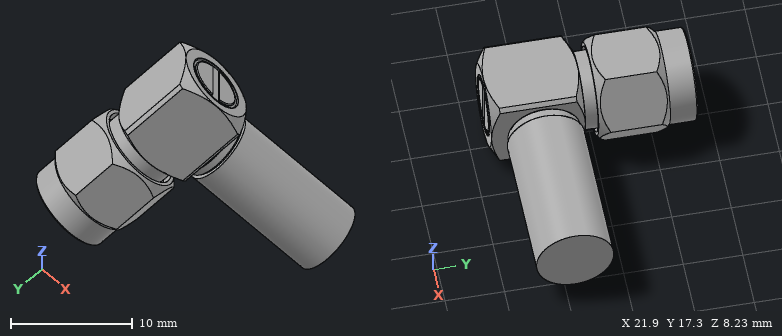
import cadquery as cq
import math


overall_x = 21.95
overall_y = 17.3
overall_z = 8.23

body_width = 7.02
body_length = 7.9
body_front_y = -4.4
body_back_y = body_front_y + body_length
body_corner_radius = 4.75
body_face_radius = 3.5
body_cone_angle = 30.0

neck_radius = 3.27
nut_sides = 6
nut_corner_radius = overall_z / 2 / math.cos(math.pi / nut_sides)
nut_start_y = 4.55
nut_length = 6.01
nut_end_y = nut_start_y + nut_length
nut_face_radius = 3.9
nut_cone_angle = 45.0
nut_recess_radius = 3.58
nut_recess_depth = 0.88

sleeve_radius = nut_face_radius
sleeve_end_y = body_front_y + overall_y
sleeve_chamfer = 0.13

collar_radius = 3.03
collar_length = 0.99
collar_chamfer = 0.18
ferrule_radius = 3.25
ferrule_start_x = body_width / 2 + collar_length
ferrule_end_x = overall_x - nut_corner_radius

groove_outer_radius = 2.57
cap_radius = 2.25
cap_bevel = 0.09
cap_slot_width = 0.8
cap_depth = 0.15


def rod_y(radius, start_y, end_y):
    """Cylinder on the Y axis between two Y positions."""
    return cq.Workplane("XZ", origin=(0, start_y, 0)).circle(radius).extrude(start_y - end_y)


def rod_x(radius, start_x, end_x):
    """Cylinder on the X axis between two X positions."""
    return cq.Workplane("YZ", origin=(start_x, 0, 0)).circle(radius).extrude(end_x - start_x)


def turned_blank(corner_radius, face_radius, cone_angle, start_y, end_y):
    """Round bar on the Y axis with a cone turned on each end."""
    cone_length = (corner_radius - face_radius) * math.tan(math.radians(cone_angle))
    profile = [
        (0, start_y),
        (face_radius, start_y),
        (corner_radius, start_y + cone_length),
        (corner_radius, end_y - cone_length),
        (face_radius, end_y),
        (0, end_y),
    ]
    return cq.Workplane("XY").polyline(profile).close().revolve(360, (0, 0, 0), (0, 1, 0))


def make_body():
    front = cq.Workplane("XZ", origin=(0, body_front_y, 0))
    block = front.rect(body_width, body_width).extrude(-body_length)
    blank = turned_blank(body_corner_radius, body_face_radius, body_cone_angle, body_front_y, body_back_y)
    return block.intersect(blank)


def make_nut():
    rear = cq.Workplane("XZ", origin=(0, nut_start_y, 0))
    hexagon = rear.polygon(nut_sides, 2 * nut_corner_radius).extrude(-nut_length)
    blank = turned_blank(nut_corner_radius, nut_face_radius, nut_cone_angle, nut_start_y, nut_end_y)
    recess = rod_y(nut_recess_radius, nut_start_y, nut_start_y + nut_recess_depth)
    return hexagon.intersect(blank).cut(recess)


def make_sleeve():
    return rod_y(sleeve_radius, nut_end_y, sleeve_end_y).faces(">Y").chamfer(sleeve_chamfer)


def make_ferrule():
    collar = rod_x(collar_radius, body_width / 2, ferrule_start_x).faces("<X or >X").chamfer(collar_chamfer)
    return collar.union(rod_x(ferrule_radius, ferrule_start_x, ferrule_end_x))


def make_cap_recess():
    """Ring groove and slot that leave two raised half-moon pads."""
    floor_y = body_front_y + cap_depth
    pocket = rod_y(groove_outer_radius, body_front_y, floor_y).faces(">Y").chamfer(cap_bevel)
    pads = rod_y(cap_radius, body_front_y, floor_y).faces("<Y").chamfer(cap_bevel)
    slot = cq.Workplane("XY").box(cap_slot_width, 2 * body_length, body_width)
    return pocket.cut(pads.cut(slot))


neck = rod_y(neck_radius, body_back_y, nut_start_y + nut_recess_depth)

result = (
    make_body()
    .cut(make_cap_recess())
    .union(neck)
    .union(make_nut())
    .union(make_sleeve())
    .union(make_ferrule())
)